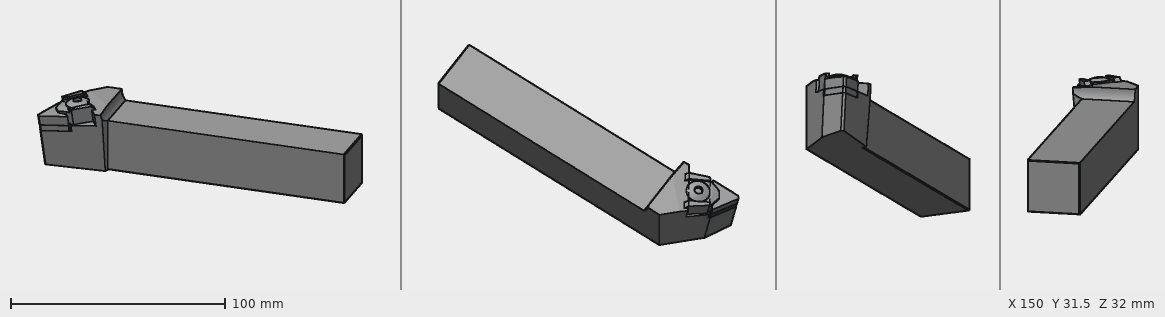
import cadquery as cq
import math

TOTAL_LENGTH = 150.0
BACK_Y = 31.5
SHANK_SIZE = 25.0
SHANK_START_X = 32.7
SHANK_CHAMFER = 0.5

HEAD_HEIGHT = 30.6
HEAD_TOP_END_X = 30.9
HEAD_END_MIDDLE = (31.6, 26.8)
HEAD_FRONT_END_X = 31.5
HEAD_FRONT_END_Y = 1.8
DIAGONAL_START_X = 23.7

RAKE_SLOPE = 0.1
TIP_HEIGHT = 25.4
NOSE_POINTS = [(0, 1.2), (0.9, 0)]
RAKE = cq.Plane(
    origin=(0, 0, TIP_HEIGHT),
    xDir=(1, 0, RAKE_SLOPE),
    normal=(-RAKE_SLOPE, -RAKE_SLOPE, 1),
)
TOP_SLOPE_OFFSET = 1.0

INSERT_THICKNESS = 4.8
SHIM_THICKNESS = 3.0
SHIM_INSET = 0.2
SHIM_GAP = 0.9
FRONT_CORNER = (15.0, 0.6)
SIDE_CORNER = (6.3, 13.8)
DIAGONAL_CORNER = (8.0, 15.3)

WALL_DISTANCE = 11.5
FAR = 60.0

CLAMP_OUTLINE = [(17.4, 22.6), (8.1, 14.4), (7.0, 7.0), (9.2, 4.0), (16.8, 2.0), (27.9, 7.2)]
CLAMP_TOP_OFFSET = 3.0
CLAMP_VALLEY_DEPTH = 1.0
CLAMP_VALLEY_WIDTH = 11.5
NOSE_SLOPE_RADIUS = 6.8
NOSE_SLOPE_TANGENT = 0.3
NOSE_SLOPE_END = 1.5
WING_RAMP_LENGTH = 1.8

SCREW_X = 16.6
SCREW_Y = 11.1
SCREW_DIAMETER = 11.1
SCREW_RIM_HEIGHT = 0.2
SCREW_TOP_OFFSET = 3.6
SOCKET_DIAMETER = 3.9
SOCKET_DEPTH = 1.8

hidden_edge_x = FRONT_CORNER[0] - SIDE_CORNER[0]
hidden_edge_y = FRONT_CORNER[1] - SIDE_CORNER[1]
HIDDEN_EDGE_ANGLE = math.degrees(math.atan2(hidden_edge_y, hidden_edge_x))


def rake_plane(offset):
    """Workplane parallel to the rake plane, at a height above it."""
    return cq.Workplane(RAKE).workplane(offset=offset)


def tilted_prism(points, bottom, top):
    """Prism square to the rake plane, between two heights above it."""
    return rake_plane(bottom).polyline(points).close().extrude(top - bottom)


def hidden_edge_plane():
    """Rake plane turned so that X runs along the insert's hidden edge and Y toward the shank."""
    plane = cq.Plane(RAKE.toWorldCoords((*SIDE_CORNER, 0)), RAKE.xDir, RAKE.zDir)
    return plane.rotated((0, 0, HIDDEN_EDGE_ANGLE))


def edge_band(near, far, bottom, top):
    """Band parallel to the insert's hidden edge, at distances from it toward the shank."""
    return (
        cq.Workplane(hidden_edge_plane())
        .workplane(offset=bottom)
        .center(0, (near + far) / 2)
        .rect(2 * FAR, far - near)
        .extrude(top - bottom)
    )


def clamp_channel(bottom):
    """Channel through the screw's axis, square to the insert's hidden edge."""
    return (
        rake_plane(bottom)
        .center(SCREW_X, SCREW_Y)
        .transformed(rotate=(0, 0, HIDDEN_EDGE_ANGLE))
        .rect(CLAMP_VALLEY_WIDTH, 2 * FAR)
        .extrude(FAR)
    )


def make_shank():
    return (
        cq.Workplane("XY")
        .box(TOTAL_LENGTH - HEAD_TOP_END_X, SHANK_SIZE, SHANK_SIZE, centered=False)
        .translate((HEAD_TOP_END_X, BACK_Y - SHANK_SIZE, 0))
        .edges(">X or (|X and <Y and <Z)")
        .chamfer(SHANK_CHAMFER)
    )


def make_head():
    shank_front_y = BACK_Y - SHANK_SIZE
    diagonal_foot = (DIAGONAL_START_X - BACK_Y, 0)
    plan = (
        cq.Workplane("XY")
        .polyline([
            diagonal_foot,
            (HEAD_FRONT_END_X, 0),
            (HEAD_FRONT_END_X, HEAD_FRONT_END_Y),
            (SHANK_START_X, shank_front_y),
            (SHANK_START_X, BACK_Y),
            (DIAGONAL_START_X, BACK_Y),
        ])
        .close()
        .extrude(HEAD_HEIGHT)
    )
    profile = (
        cq.Workplane("XZ")
        .moveTo(-FAR, 0)
        .lineTo(SHANK_START_X, 0)
        .lineTo(SHANK_START_X, SHANK_SIZE)
        .threePointArc(HEAD_END_MIDDLE, (HEAD_TOP_END_X, HEAD_HEIGHT))
        .lineTo(-FAR, HEAD_HEIGHT)
        .close()
        .extrude(-FAR)
    )
    front_slope = HEAD_FRONT_END_Y / HEAD_FRONT_END_X
    relief = tilted_prism(
        [
            *NOSE_POINTS,
            (FAR, FAR * front_slope),
            (FAR, DIAGONAL_CORNER[1] + FAR - DIAGONAL_CORNER[0]),
            DIAGONAL_CORNER,
            SIDE_CORNER,
        ],
        -FAR,
        FAR,
    )
    above_slope = rake_plane(TOP_SLOPE_OFFSET).rect(3 * FAR, 3 * FAR).extrude(FAR)
    return plan.intersect(profile).intersect(relief).cut(above_slope)


def insert_outline():
    return [*NOSE_POINTS, FRONT_CORNER, SIDE_CORNER]


def make_insert():
    return tilted_prism(insert_outline(), -INSERT_THICKNESS, 0)


def cut_pocket(head):
    """Open floor for clamp and insert, with a deeper seat that the shim fills."""
    floor = -INSERT_THICKNESS
    seat_floor = floor - SHIM_THICKNESS
    pocket = edge_band(-FAR, WALL_DISTANCE, floor, FAR)
    seat = edge_band(-FAR, SHIM_GAP, seat_floor, floor)
    shim = (
        rake_plane(seat_floor)
        .polyline(insert_outline())
        .close()
        .offset2D(-SHIM_INSET)
        .extrude(SHIM_THICKNESS)
    )
    return head.cut(pocket).cut(seat).union(shim)


def make_clamp():
    """Clamp with two raised wings, a valley between them and a conical slope on the nose."""
    clamp = tilted_prism(CLAMP_OUTLINE, -INSERT_THICKNESS, CLAMP_TOP_OFFSET)
    valley_floor = CLAMP_TOP_OFFSET - CLAMP_VALLEY_DEPTH

    valley = clamp_channel(valley_floor)
    behind_valley = clamp_channel(-INSERT_THICKNESS).intersect(
        edge_band(WALL_DISTANCE, FAR, -INSERT_THICKNESS, FAR)
    )

    nose_area = edge_band(-FAR, NOSE_SLOPE_END, -INSERT_THICKNESS, FAR)
    bottom_radius = NOSE_SLOPE_RADIUS + (valley_floor + INSERT_THICKNESS) / NOSE_SLOPE_TANGENT
    top_radius = NOSE_SLOPE_RADIUS - CLAMP_VALLEY_DEPTH / NOSE_SLOPE_TANGENT
    cone = cq.Solid.makeCone(
        bottom_radius,
        top_radius,
        CLAMP_TOP_OFFSET + INSERT_THICKNESS,
        RAKE.toWorldCoords((SCREW_X, SCREW_Y, -INSERT_THICKNESS)),
        RAKE.zDir,
    )

    edge_plane = hidden_edge_plane()
    ramp_end = WALL_DISTANCE + WING_RAMP_LENGTH
    ramp_cut = (
        cq.Workplane(cq.Plane(edge_plane.origin, edge_plane.yDir, edge_plane.xDir))
        .polyline([
            (WALL_DISTANCE, CLAMP_TOP_OFFSET),
            (ramp_end, TOP_SLOPE_OFFSET),
            (FAR, -INSERT_THICKNESS),
            (FAR, CLAMP_TOP_OFFSET),
        ])
        .close()
        .extrude(FAR, both=True)
    )
    behind_wings = edge_band(ramp_end, FAR, -INSERT_THICKNESS, FAR)

    clamp = clamp.cut(valley).cut(behind_valley).cut(nose_area.cut(cone))
    return clamp.cut(ramp_cut).cut(behind_wings)


def make_screw():
    """Domed head with a round socket, square to the rake plane."""
    base = CLAMP_TOP_OFFSET - CLAMP_VALLEY_DEPTH
    radius = SCREW_DIAMETER / 2
    rim = base + SCREW_RIM_HEIGHT
    dome_rise = SCREW_TOP_OFFSET - rim
    dome_radius = (radius**2 + dome_rise**2) / (2 * dome_rise)
    dome = (
        rake_plane(SCREW_TOP_OFFSET - dome_radius)
        .center(SCREW_X, SCREW_Y)
        .sphere(dome_radius)
    )
    return rake_plane(base).center(SCREW_X, SCREW_Y).circle(radius).extrude(FAR).intersect(dome)


def cut_socket(body):
    socket = (
        rake_plane(SCREW_TOP_OFFSET - SOCKET_DEPTH)
        .center(SCREW_X, SCREW_Y)
        .circle(SOCKET_DIAMETER / 2)
        .extrude(FAR)
    )
    return body.cut(socket)


def make_holder(insert):
    head = cut_pocket(make_head())
    holder = head.union(make_shank()).union(make_clamp()).union(make_screw())
    return cut_socket(holder).cut(insert)


insert = make_insert()
holder = make_holder(insert)

result = cq.Compound.makeCompound([holder.val(), insert.val()])